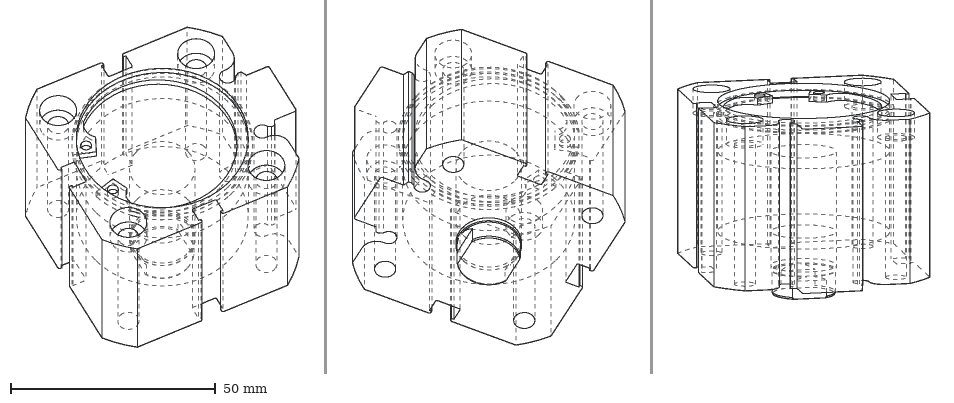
import cadquery as cq
import math


HOUSING_SIDE = 54.0
HALF_SIDE = HOUSING_SIDE / 2
ROD_PROTRUSION = 7.0
OVERALL_HEIGHT = 48.0
HOUSING_HEIGHT = OVERALL_HEIGHT - ROD_PROTRUSION
CORNER_START = 20.6
CORNER_RADIUS = math.hypot(HALF_SIDE, CORNER_START)

BLOCK_TOP = 33.0
BLOCK_HALF_WIDTH = 7.55
BLOCK_FILLET = 0.6
LIP_HALF_WIDTH = 9.05
LIP_ROOT_Y = 26.9
LIP_TOP_Y = 26.2
LIP_BOTTOM_Y = 25.3
NOTCH_X = 9.3
NOTCH_Y = 22.6
NOTCH_RADIUS = 2.0
LIP_END_ANGLE = 67.0
SHOULDER_RADIUS = 3.95

SLOT_WIDTH = 6.6
SLOT_DEPTH = 4.55
SLOT_FILLET = 0.3
MOUTH_WIDTH = 5.4
MOUTH_LIP = 0.9
MOUTH_ROUNDING = 0.5

MOUNT_OFFSET = 18.9
MOUNT_DIAMETER = 5.15
COUNTERBORE_DIAMETER = 9.0
COUNTERBORE_DEPTH = 6.05

BORE_DIAMETER = 42.0
FRONT_WALL = 8.4
RING_RADIUS = 22.1
RING_RECESS = 1.75
RING_THICKNESS = 1.8
RING_TOP = HOUSING_HEIGHT - RING_RECESS
RING_BOTTOM = RING_TOP - RING_THICKNESS
RING_INNER_RADIUS = 19.3
RING_INNER_Y = -1.2
RING_TURN = -0.6
EAR_START_X = 14.15
EAR_HOLLOW = (11.65, -15.25)
EAR_TIP = (8.65, -13.85)
EAR_CORNER = (4.55, -15.65)
EAR_END_X = 6.25
EAR_HOLE = (7.4, -17.1)
EAR_HOLE_DIAMETER = 2.65

CAP_THICKNESS = 9.0

ROD_DIAMETER = 16.0
NECK_DIAMETER = 15.55
ROD_SHOULDER_Z = -1.1
ROD_END_CHAMFER_HEIGHT = 0.5
ROD_END_CHAMFER_WIDTH = 0.2
ROD_FLATS_WIDTH = 13.0
FLATS_TOP_Z = -2.5


def polar(center, radius, degrees):
    """Point on a circle."""
    angle = math.radians(degrees)
    return (center[0] + radius * math.cos(angle), center[1] + radius * math.sin(angle))


def mirrored(point):
    """The same point on the other side of the YZ plane."""
    return (-point[0], point[1])


def square_body():
    """Square prism whose corners are cut by a cylinder about the bore axis."""
    square = cq.Workplane("XY").rect(HOUSING_SIDE, HOUSING_SIDE).extrude(HOUSING_HEIGHT)
    return square.intersect(cq.Workplane("XY").circle(CORNER_RADIUS).extrude(HOUSING_HEIGHT))


def port_block():
    """Block standing out of the +Y side."""
    block = (
        cq.Workplane("XY")
        .moveTo(0, BLOCK_TOP / 2)
        .rect(2 * BLOCK_HALF_WIDTH, BLOCK_TOP)
        .extrude(HOUSING_HEIGHT)
    )
    return block.edges("|Z and >Y").fillet(BLOCK_FILLET)


def notch():
    """Cutter for the notch at the +X side of the port block, including the rounded shoulder."""
    center = (NOTCH_X, NOTCH_Y)
    wall_x = NOTCH_X + NOTCH_RADIUS
    shoulder_x = wall_x + SHOULDER_RADIUS
    shoulder_y = HALF_SIDE - SHOULDER_RADIUS
    shoulder_mid = polar((shoulder_x, shoulder_y), SHOULDER_RADIUS, 135)
    return (
        cq.Workplane("XY")
        .moveTo(BLOCK_HALF_WIDTH, HALF_SIDE)
        .lineTo(BLOCK_HALF_WIDTH, LIP_ROOT_Y)
        .lineTo(LIP_HALF_WIDTH, LIP_TOP_Y)
        .lineTo(LIP_HALF_WIDTH, LIP_BOTTOM_Y)
        .lineTo(*polar(center, NOTCH_RADIUS, 180 - LIP_END_ANGLE))
        .threePointArc(polar(center, NOTCH_RADIUS, 225), (wall_x, NOTCH_Y))
        .lineTo(wall_x, shoulder_y)
        .threePointArc(shoulder_mid, (shoulder_x, HALF_SIDE))
        .close()
        .extrude(HOUSING_HEIGHT)
    )


def sensor_slot():
    """Cutter for the slot in the -Y side: a wide channel behind a narrower, rounded mouth."""
    channel = (
        cq.Workplane("XY")
        .moveTo(0, -HALF_SIDE + (SLOT_DEPTH + MOUTH_LIP) / 2)
        .rect(SLOT_WIDTH, SLOT_DEPTH - MOUTH_LIP)
        .extrude(HOUSING_HEIGHT)
        .edges("|Z and >Y")
        .fillet(SLOT_FILLET)
    )
    half_mouth = MOUTH_WIDTH / 2
    half_flare = half_mouth + MOUTH_ROUNDING
    rounded_y = -HALF_SIDE + MOUTH_ROUNDING
    arc_right = polar((half_flare, rounded_y), MOUTH_ROUNDING, 225)
    mouth = (
        cq.Workplane("XY")
        .moveTo(-half_flare, -HALF_SIDE)
        .lineTo(half_flare, -HALF_SIDE)
        .threePointArc(arc_right, (half_mouth, rounded_y))
        .lineTo(half_mouth, -HALF_SIDE + MOUTH_LIP)
        .lineTo(-half_mouth, -HALF_SIDE + MOUTH_LIP)
        .lineTo(-half_mouth, rounded_y)
        .threePointArc(mirrored(arc_right), (-half_flare, -HALF_SIDE))
        .close()
        .extrude(HOUSING_HEIGHT)
    )
    return channel.union(mouth)


def bore():
    """Cutter for the bore, its ring groove and the rod hole."""
    cylinder = (
        cq.Workplane("XY").workplane(offset=FRONT_WALL)
        .circle(BORE_DIAMETER / 2).extrude(HOUSING_HEIGHT - FRONT_WALL)
    )
    groove = cq.Workplane("XY").workplane(offset=RING_BOTTOM).circle(RING_RADIUS).extrude(RING_THICKNESS)
    rod_hole = cq.Workplane("XY").circle(ROD_DIAMETER / 2).extrude(FRONT_WALL)
    return cylinder.union(groove).union(rod_hole)


def build_housing():
    body = square_body().union(port_block())
    body = body.cut(notch()).cut(notch().mirror("YZ"))
    for angle in (-90, 0, 90):
        body = body.cut(sensor_slot().rotate((0, 0, 0), (0, 0, 1), angle))
    body = (
        body.faces(">Z").workplane(origin=(0, 0, HOUSING_HEIGHT))
        .rect(2 * MOUNT_OFFSET, 2 * MOUNT_OFFSET, forConstruction=True)
        .vertices()
        .cboreHole(MOUNT_DIAMETER, COUNTERBORE_DIAMETER, COUNTERBORE_DEPTH)
    )
    return body.cut(bore())


def build_retaining_ring():
    """Eccentric snap ring whose two ears face -Y, each with a pliers hole."""
    drop = math.sqrt(RING_INNER_RADIUS**2 - EAR_START_X**2)
    ear_start = (EAR_START_X, RING_INNER_Y - drop)
    ear_end = (EAR_END_X, -math.sqrt(RING_RADIUS**2 - EAR_END_X**2))
    ring = (
        cq.Workplane("XY").workplane(offset=RING_BOTTOM)
        .moveTo(*ear_end)
        .threePointArc((0, RING_RADIUS), mirrored(ear_end))
        .lineTo(*mirrored(EAR_CORNER))
        .lineTo(*mirrored(EAR_TIP))
        .threePointArc(mirrored(EAR_HOLLOW), mirrored(ear_start))
        .threePointArc((0, RING_INNER_Y + RING_INNER_RADIUS), ear_start)
        .threePointArc(EAR_HOLLOW, EAR_TIP)
        .lineTo(*EAR_CORNER)
        .close()
        .extrude(RING_THICKNESS)
    )
    holes = (
        cq.Workplane("XY").workplane(offset=RING_BOTTOM)
        .pushPoints([EAR_HOLE, mirrored(EAR_HOLE)])
        .circle(EAR_HOLE_DIAMETER / 2).extrude(RING_THICKNESS)
    )
    return ring.cut(holes).rotate((0, 0, 0), (0, 0, 1), RING_TURN)


def build_end_cap():
    """Disc that closes the bore under the retaining ring."""
    return (
        cq.Workplane("XY").workplane(offset=RING_BOTTOM - CAP_THICKNESS)
        .circle(BORE_DIAMETER / 2).extrude(CAP_THICKNESS)
    )


def build_rod():
    """Stepped rod with two wrench flats that run out at 45 degrees below the shoulder."""
    rod_radius = ROD_DIAMETER / 2
    neck_radius = NECK_DIAMETER / 2
    rod_top = RING_BOTTOM - CAP_THICKNESS
    shoulder_end = ROD_SHOULDER_Z - (rod_radius - neck_radius)
    rod = (
        cq.Workplane("YZ")
        .moveTo(0, -ROD_PROTRUSION)
        .lineTo(-neck_radius + ROD_END_CHAMFER_WIDTH, -ROD_PROTRUSION)
        .lineTo(-neck_radius, -ROD_PROTRUSION + ROD_END_CHAMFER_HEIGHT)
        .lineTo(-neck_radius, shoulder_end)
        .lineTo(-rod_radius, ROD_SHOULDER_Z)
        .lineTo(-rod_radius, rod_top)
        .lineTo(0, rod_top)
        .close()
        .revolve(360, (0, 0, 0), (0, 1, 0))
    )
    half_flats = ROD_FLATS_WIDTH / 2
    runout = rod_radius - half_flats
    flat = (
        cq.Workplane("YZ")
        .moveTo(-half_flats, -ROD_PROTRUSION)
        .lineTo(-half_flats, FLATS_TOP_Z)
        .lineTo(-half_flats - runout, FLATS_TOP_Z + runout)
        .lineTo(-half_flats - runout, -ROD_PROTRUSION)
        .close()
        .extrude(rod_radius, both=True)
    )
    return rod.cut(flat).cut(flat.mirror("XZ"))


housing = build_housing()
retaining_ring = build_retaining_ring()
end_cap = build_end_cap()
rod = build_rod()

result = cq.Compound.makeCompound([housing.val(), retaining_ring.val(), end_cap.val(), rod.val()])